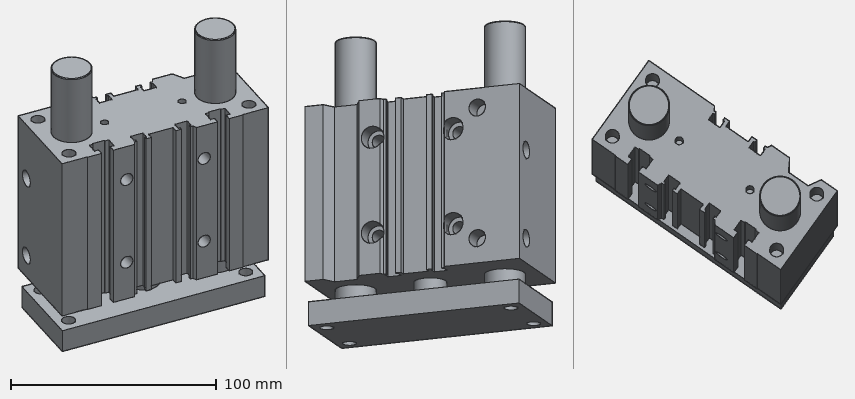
import cadquery as cq

HOUSING_WIDTH = 48.0
HOUSING_LENGTH = 112.0
HOUSING_BOTTOM = 21.9
HOUSING_TOP = 110.1
HOUSING_HEIGHT = HOUSING_TOP - HOUSING_BOTTOM
FACE_X = HOUSING_WIDTH / 2

RELIEF_DEPTH = 0.3
RELIEF_START = 42.2

CHANNEL_CENTER_Y = 37.0
CHANNEL_MOUTH = 18.8
CHANNEL_FLOOR = 11.8
CHANNEL_FLOOR_X = -18.0

RECESS_MOUTH_Y = 16.9
RECESS_FLOOR_Y = 15.9
RECESS_X = 22.0

SENSOR_SLOT_Y = 12.0
SENSOR_MOUTH = 5.0
SENSOR_HEAD = 6.8
SENSOR_SHOULDER_X = 20.6
SENSOR_FLOOR_X = 16.8
GROOVE_WIDTH = 13.2
GROOVE_FLOOR_X = 19.0

T_SLOT_Y = 31.5
T_MOUTH = 6.3
T_HEAD = 10.6
T_SHOULDER_X = 20.6
T_FLOOR_X = 14.8
T_RELIEF_X = 14.3

GUIDE_DIAMETER = 20.0
GUIDE_Y = 39.0
GUIDE_TOP = 147.0
GUIDE_CHAMFER = 0.5
PISTON_DIAMETER = 16.0
PLATE_WIDTH = 44.1
PLATE_LENGTH = 110.0
PLATE_THICKNESS = 12.0

CORNER_HOLE_DIAMETER = 6.8
CORNER_HOLE_X = 16.9
CORNER_HOLE_Y = 48.8
CORNER_HOLE_DEPTH = 17.6
PLATE_HOLE_X = 15.0
PLATE_HOLE_Y = 48.0
DOWEL_DIAMETER = 4.0
DOWEL_Y = 21.0
DOWEL_DEPTH = 8.8
BOLT_DIAMETER = 6.6
BOLT_HEAD_DIAMETER = 11.0
BOLT_HEAD_DEPTH = 8.8
BOLT_Y = 21.0
BOLT_LEVELS = (43.0, 91.0)
PORT_DIAMETER = 8.5
PORT_DEPTH = 10.3
SIDE_PORT_Y = -34.0
SIDE_PORT_LEVELS = (34.4, 100.3)
END_PORT_X = -15.0
END_PORT_LEVELS = (34.4, 79.0)


def prism(points):
    """Solid over the full housing height with the given XY outline."""
    return (cq.Workplane("XY").workplane(offset=HOUSING_BOTTOM)
            .polyline(points).close().extrude(HOUSING_HEIGHT))


def bar(x_start, x_end, y_center, width):
    """Full-height rectangular bar between two X positions."""
    low, high = y_center - width / 2, y_center + width / 2
    return prism([(x_start, low), (x_end, low), (x_end, high), (x_start, high)])


def x_hole(diameter, depth, y, z):
    """Cutter drilled into the -X face towards +X."""
    return (cq.Workplane("YZ", origin=(-FACE_X, y, z))
            .circle(diameter / 2).extrude(depth))


def corner_holes(x, y, top, depth):
    """Four cutters at (+-x, +-y), running down from the given level."""
    return (cq.Workplane("XY").workplane(offset=top)
            .rect(2 * x, 2 * y, forConstruction=True)
            .vertices().circle(CORNER_HOLE_DIAMETER / 2).extrude(-depth))


def guide_rods():
    """Two cylinders from the top of the plate to the guide ends."""
    return (cq.Workplane("XY").workplane(offset=PLATE_THICKNESS)
            .pushPoints([(0, GUIDE_Y), (0, -GUIDE_Y)])
            .circle(GUIDE_DIAMETER / 2).extrude(GUIDE_TOP - PLATE_THICKNESS))


def central_recess(side):
    """Cutter for the recess, sensor slots and groove on one X face."""
    recess = prism([
        (side * FACE_X, -RECESS_MOUTH_Y),
        (side * RECESS_X, -RECESS_FLOOR_Y),
        (side * RECESS_X, RECESS_FLOOR_Y),
        (side * FACE_X, RECESS_MOUTH_Y),
    ])
    for y in (SENSOR_SLOT_Y, -SENSOR_SLOT_Y):
        recess = recess.union(bar(side * FACE_X, side * SENSOR_FLOOR_X, y, SENSOR_MOUTH))
        recess = recess.union(bar(side * SENSOR_SHOULDER_X, side * SENSOR_FLOOR_X, y, SENSOR_HEAD))
    return recess.union(bar(side * FACE_X, side * GROOVE_FLOOR_X, 0, GROOVE_WIDTH))


def t_slot(y):
    """Cutter for one T-slot in the +X face."""
    mouth = bar(FACE_X, T_RELIEF_X, y, T_MOUTH)
    return mouth.union(bar(T_SHOULDER_X, T_FLOOR_X, y, T_HEAD))


def relief_corners():
    """Cutters that set the two outer strips of the +X face back."""
    width = HOUSING_LENGTH / 2 - RELIEF_START
    center = RELIEF_START + width / 2
    return [bar(FACE_X - RELIEF_DEPTH, FACE_X, y, width) for y in (center, -center)]


def wide_channel():
    """Cutter for the trapezoidal channel in the -X face."""
    return prism([
        (-FACE_X, CHANNEL_CENTER_Y - CHANNEL_MOUTH / 2),
        (CHANNEL_FLOOR_X, CHANNEL_CENTER_Y - CHANNEL_FLOOR / 2),
        (CHANNEL_FLOOR_X, CHANNEL_CENTER_Y + CHANNEL_FLOOR / 2),
        (-FACE_X, CHANNEL_CENTER_Y + CHANNEL_MOUTH / 2),
    ])


def dowel_holes():
    """Two small blind cutters in the top face."""
    return (cq.Workplane("XY").workplane(offset=HOUSING_TOP)
            .pushPoints([(0, DOWEL_Y), (0, -DOWEL_Y)])
            .circle(DOWEL_DIAMETER / 2).extrude(-DOWEL_DEPTH))


def bolt_hole(y, z):
    """Cutter for one through hole along X, counterbored from the -X face."""
    shank = x_hole(BOLT_DIAMETER, HOUSING_WIDTH, y, z)
    return shank.union(x_hole(BOLT_HEAD_DIAMETER, BOLT_HEAD_DEPTH, y, z))


def end_port(z):
    """Cutter for one air port in the -Y end."""
    return (cq.Workplane("XZ", origin=(END_PORT_X, -HOUSING_LENGTH / 2, z))
            .circle(PORT_DIAMETER / 2).extrude(-PORT_DEPTH))


def make_housing():
    """Block with lengthwise slots, guide bores, bolt holes and air ports."""
    body = (cq.Workplane("XY").workplane(offset=HOUSING_BOTTOM)
            .rect(HOUSING_WIDTH, HOUSING_LENGTH).extrude(HOUSING_HEIGHT))

    cutters = [
        *relief_corners(),
        wide_channel(),
        central_recess(-1),
        central_recess(1),
        t_slot(T_SLOT_Y),
        t_slot(-T_SLOT_Y),
        guide_rods(),
        corner_holes(CORNER_HOLE_X, CORNER_HOLE_Y, HOUSING_TOP, CORNER_HOLE_DEPTH),
        dowel_holes(),
    ]
    cutters += [bolt_hole(y, z) for z in BOLT_LEVELS for y in (BOLT_Y, -BOLT_Y)]
    cutters += [x_hole(PORT_DIAMETER, PORT_DEPTH, SIDE_PORT_Y, z) for z in SIDE_PORT_LEVELS]
    cutters += [end_port(z) for z in END_PORT_LEVELS]

    for cutter in cutters:
        body = body.cut(cutter)
    return body


def make_carriage():
    """End plate joined to its two guide rods and the piston rod."""
    plate = (cq.Workplane("XY").rect(PLATE_WIDTH, PLATE_LENGTH).extrude(PLATE_THICKNESS)
             .cut(corner_holes(PLATE_HOLE_X, PLATE_HOLE_Y, PLATE_THICKNESS, PLATE_THICKNESS)))
    piston_rod = (cq.Workplane("XY").workplane(offset=PLATE_THICKNESS)
                  .circle(PISTON_DIAMETER / 2).extrude(HOUSING_BOTTOM - PLATE_THICKNESS))
    rods = guide_rods().faces(">Z").chamfer(GUIDE_CHAMFER)
    return plate.union(piston_rod).union(rods)


housing = make_housing().solids()
carriage = make_carriage().solids()
result = cq.Compound.makeCompound([housing.val(), carriage.val()])